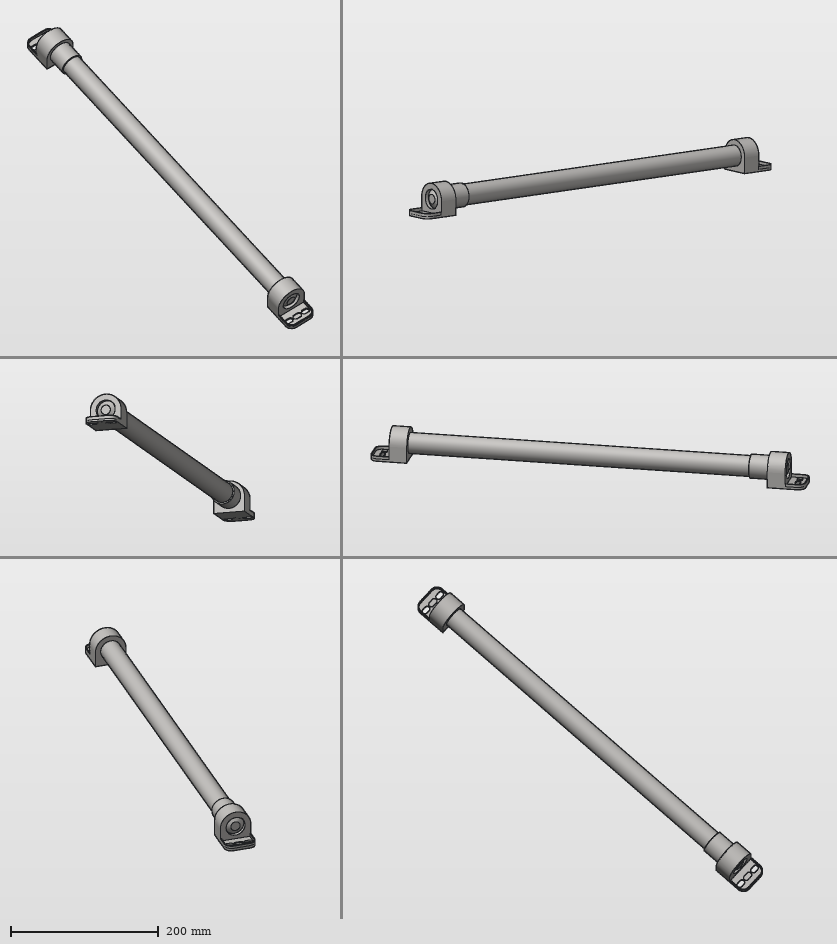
import cadquery as cq

total_length = 600.0
bracket_width = 44.0
block_length = 24.5
foot_length = 26.5
foot_thickness = 7.0
foot_corner_radius = 10.0
tube_diameter = 29.0
collar_diameter = 33.0
collar_length = 27.0
bore_diameter = 27.0
bore_depth = 5.5
nose_tip_diameter = 13.0
nose_length = 5.0
foot_rim = 1.5
foot_recess_depth = 4.0
slot_width = 7.0
slot_length = 12.0
middle_slot_length = 13.0
slot_offset = 14.0
slot_from_end = 13.0
middle_slot_floor = 1.0

axis_height = bracket_width / 2
half_length = total_length / 2
block_outer_x = -half_length + foot_length
block_inner_x = block_outer_x + block_length
slot_x = -half_length + slot_from_end


def rod(diameter, start_x, length):
    """Cylinder along the rod axis."""
    plane = cq.Workplane("YZ", origin=(start_x, 0, axis_height))
    return plane.circle(diameter / 2).extrude(length)


def slot_cutter(y, length, bottom_z):
    """Slot elongated along Y, open at the top of the foot."""
    plane = cq.Workplane("XY", origin=(slot_x, y, bottom_z))
    return plane.slot2D(length, slot_width, 90).extrude(foot_thickness - bottom_z)


def round_top_block():
    """Upright block with a half-round top."""
    half_width = bracket_width / 2
    return (
        cq.Workplane("YZ", origin=(block_outer_x, 0, 0))
        .moveTo(-half_width, 0)
        .lineTo(half_width, 0)
        .lineTo(half_width, axis_height)
        .threePointArc((0, bracket_width), (-half_width, axis_height))
        .close()
        .extrude(block_length)
    )


def slotted_foot():
    """Rimmed foot plate with two through slots and a blind one between them."""
    foot = (
        cq.Workplane("XY", origin=(-half_length, 0, 0))
        .box(foot_length, bracket_width, foot_thickness, centered=(False, True, False))
        .edges("|Z and <X")
        .fillet(foot_corner_radius)
    )
    recess_floor = foot_thickness - foot_recess_depth
    recess_length = foot_length - foot_rim
    recess_width = bracket_width - 2 * foot_rim
    recess = (
        cq.Workplane("XY", origin=(-half_length + foot_rim, 0, recess_floor))
        .box(recess_length, recess_width, foot_recess_depth, centered=(False, True, False))
        .edges("|Z and <X")
        .fillet(foot_corner_radius - foot_rim)
    )
    foot = foot.cut(recess)
    for side in (-1, 1):
        foot = foot.cut(slot_cutter(side * slot_offset, slot_length, 0))
    return foot.cut(slot_cutter(0, middle_slot_length, middle_slot_floor))


def tapered_nose():
    """Cone frustum standing on the floor of the bore, pointing outwards."""
    return (
        cq.Workplane("YZ", origin=(block_outer_x + bore_depth, 0, axis_height))
        .circle(bore_diameter / 2)
        .workplane(offset=-nose_length)
        .circle(nose_tip_diameter / 2)
        .loft(ruled=True)
    )


def end_bracket():
    """Complete bracket for the -X end."""
    bored_block = round_top_block().cut(rod(bore_diameter, block_outer_x, bore_depth))
    return bored_block.union(slotted_foot()).union(tapered_nose())


bracket = end_bracket()
tube = rod(tube_diameter, block_inner_x, -2 * block_inner_x)
collar = rod(collar_diameter, block_inner_x, collar_length)

result = tube.union(collar).union(bracket).union(bracket.mirror("YZ"))